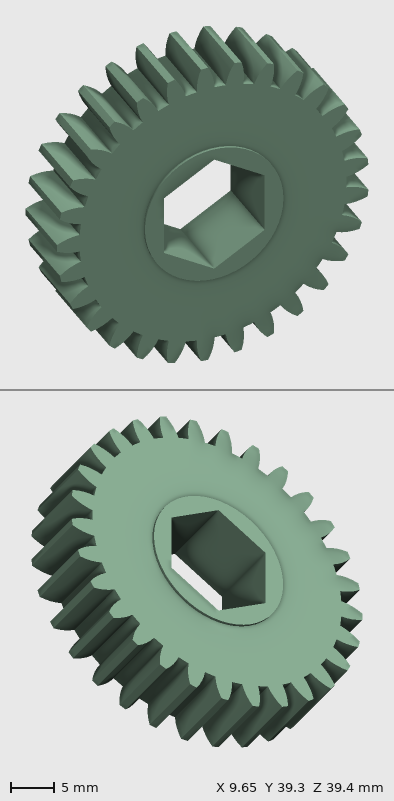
import cadquery as cq
import math

overall_height = 39.35
tooth_count = 29
tooth_depth = 2.85
rim_width = 8.95

root_thickness = 2.25
middle_thickness = 1.93
tip_half = math.radians(1.3)

hub_width = 9.65
hub_diameter = 17.47
hex_across_flats = 12.7

first_tooth_angle = math.pi
tooth_pitch = 2 * math.pi / tooth_count
top_tooth_lean = tooth_pitch / 4
outer_radius = overall_height / 2 / math.cos(top_tooth_lean - tip_half)

root_radius = outer_radius - tooth_depth
middle_radius = outer_radius - tooth_depth / 2
hex_across_corners = hex_across_flats / math.cos(math.pi / 6)


def polar(radius, angle):
    """Point in the YZ plane, with the angle measured from +Y towards +Z."""
    return (radius * math.cos(angle), radius * math.sin(angle))


def half_angle(thickness, radius):
    """Half of the angle spanned by a chord of this thickness."""
    return math.asin(thickness / (2 * radius))


def gear_rim():
    """Toothed disc: arc flanks, with tips and gaps on concentric circles."""
    root_half = half_angle(root_thickness, root_radius)
    middle_half = half_angle(middle_thickness, middle_radius)

    outline = cq.Workplane("YZ").moveTo(*polar(root_radius, first_tooth_angle - root_half))
    for tooth in range(tooth_count):
        centre = first_tooth_angle + tooth * tooth_pitch
        next_root = centre + tooth_pitch - root_half
        outline = (
            outline
            .threePointArc(polar(middle_radius, centre - middle_half), polar(outer_radius, centre - tip_half))
            .threePointArc(polar(outer_radius, centre), polar(outer_radius, centre + tip_half))
            .threePointArc(polar(middle_radius, centre + middle_half), polar(root_radius, centre + root_half))
            .threePointArc(polar(root_radius, centre + tooth_pitch / 2), polar(root_radius, next_root))
        )
    return outline.close().extrude(rim_width / 2, both=True)


def hub():
    """Round hub standing slightly proud of both rim faces."""
    return cq.Workplane("YZ").circle(hub_diameter / 2).extrude(hub_width / 2, both=True)


def hex_bore():
    """Through bore with two corners on the Z axis."""
    return (
        cq.Workplane("YZ")
        .transformed(rotate=(0, 0, 90))
        .polygon(6, hex_across_corners)
        .extrude(hub_width / 2, both=True)
    )


result = gear_rim().union(hub()).cut(hex_bore())